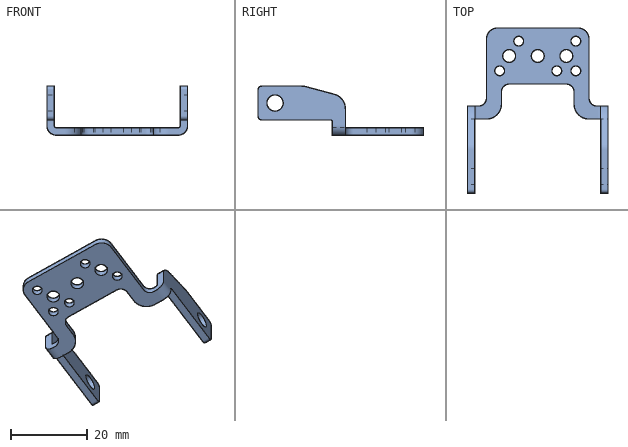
import cadquery as cq
import math

width = 37.0
length = 43.5
height = 12.95
sheet = 2.0

bend_inner_radius = 0.5
bend_outer_radius = bend_inner_radius + sheet

plate_half_width = 13.5
plate_depth = 14.8
plate_corner_radius = 3.0
notch_half_width = 9.5
notch_corner_radius = 2.0
foot_depth = 3.5
foot_inner_radius = 2.0
foot_outer_radius = 4.0

large_hole_diameter = 3.3
large_hole_pitch = 7.5
small_hole_diameter = 2.5
small_hole_row_offset = 3.9
front_row_x = (-10.0, 5.0, 10.0)
back_row_x = (-5.0, 10.0)

arm_length = 23.0
arm_height = 8.95
arm_end_radius = 1.0
arm_inner_corner_radius = 0.4
arm_slope_angle = math.radians(15)
arm_slope_start = 12.05
arm_slope_blend_radius = 4.4
arm_shoulder_radius = 4.0
arm_hole_diameter = 4.2
arm_hole_inset = 4.5

half_width = width / 2
bend_start_x = half_width - bend_outer_radius
plate_back_y = plate_depth / 2
notch_y = plate_back_y - plate_depth
arm_front_y = plate_back_y - length
foot_back_y = arm_front_y + arm_length
foot_front_y = foot_back_y - foot_depth
arm_bottom_z = height - arm_height


def fillet_at(body, axis, point, radius):
    """Round the edge parallel to axis whose midpoint is the given point."""
    reach = 0.01
    low = tuple(value - reach for value in point)
    high = tuple(value + reach for value in point)
    picker = cq.selectors.BoxSelector(low, high)
    return body.edges("|" + axis).edges(picker).fillet(radius)


def make_base():
    """Flat plate, legs and feet, up to the start of the bends."""
    right_side = [
        (0, plate_back_y),
        (plate_half_width, plate_back_y),
        (plate_half_width, foot_back_y),
        (bend_start_x, foot_back_y),
        (bend_start_x, foot_front_y),
        (notch_half_width, foot_front_y),
        (notch_half_width, notch_y),
        (0, notch_y),
    ]
    base = cq.Workplane("XY").polyline(right_side).close().extrude(sheet)
    rounded_corners = [
        (plate_half_width, plate_back_y, plate_corner_radius),
        (plate_half_width, foot_back_y, foot_inner_radius),
        (notch_half_width, foot_front_y, foot_outer_radius),
        (notch_half_width, notch_y, notch_corner_radius),
    ]
    for x, y, radius in rounded_corners:
        base = fillet_at(base, "Z", (x, y, sheet / 2), radius)
    return base.union(base.mirror("YZ"))


def make_bend():
    """Quarter-round bend at the right-hand foot."""
    diagonal = math.sqrt(0.5)
    center_z = bend_outer_radius
    return (
        cq.Workplane("XZ", origin=(0, foot_back_y, 0))
        .moveTo(bend_start_x, 0)
        .threePointArc(
            (bend_start_x + bend_outer_radius * diagonal, center_z - bend_outer_radius * diagonal),
            (half_width, center_z),
        )
        .lineTo(half_width - sheet, center_z)
        .threePointArc(
            (bend_start_x + bend_inner_radius * diagonal, center_z - bend_inner_radius * diagonal),
            (bend_start_x, sheet),
        )
        .close()
        .extrude(foot_depth)
    )


def make_arm():
    """Upright right-hand arm with a sloped shoulder and a pivot hole."""
    slope_y = arm_front_y + arm_slope_start
    shoulder_z = height - (arm_length - arm_slope_start) * math.tan(arm_slope_angle)
    inner_x = half_width - sheet
    outline = [
        (foot_back_y, bend_outer_radius),
        (foot_back_y, shoulder_z),
        (slope_y, height),
        (arm_front_y, height),
        (arm_front_y, arm_bottom_z),
        (foot_front_y, arm_bottom_z),
        (foot_front_y, bend_outer_radius),
    ]
    arm = cq.Workplane("YZ", origin=(inner_x, 0, 0)).polyline(outline).close().extrude(sheet)
    rounded_corners = [
        (foot_back_y, shoulder_z, arm_shoulder_radius),
        (slope_y, height, arm_slope_blend_radius),
        (arm_front_y, height, arm_end_radius),
        (arm_front_y, arm_bottom_z, arm_end_radius),
        (foot_front_y, arm_bottom_z, arm_inner_corner_radius),
    ]
    for y, z, radius in rounded_corners:
        arm = fillet_at(arm, "X", (inner_x + sheet / 2, y, z), radius)
    pivot_hole = (
        cq.Workplane("YZ", origin=(inner_x, 0, 0))
        .center(arm_front_y + arm_hole_inset, arm_bottom_z + arm_height / 2)
        .circle(arm_hole_diameter / 2)
        .extrude(sheet)
    )
    return arm.cut(pivot_hole)


def drill_plate(body):
    """Cut the large and small holes through the mounting plate."""
    large_places = [(step * large_hole_pitch, 0) for step in (-1, 0, 1)]
    small_places = [(x, -small_hole_row_offset) for x in front_row_x]
    small_places += [(x, small_hole_row_offset) for x in back_row_x]
    hole_groups = [(large_places, large_hole_diameter), (small_places, small_hole_diameter)]
    for places, diameter in hole_groups:
        holes = cq.Workplane("XY").pushPoints(places).circle(diameter / 2).extrude(sheet)
        body = body.cut(holes)
    return body


side = make_bend().union(make_arm())
result = drill_plate(make_base()).union(side).union(side.mirror("YZ"))